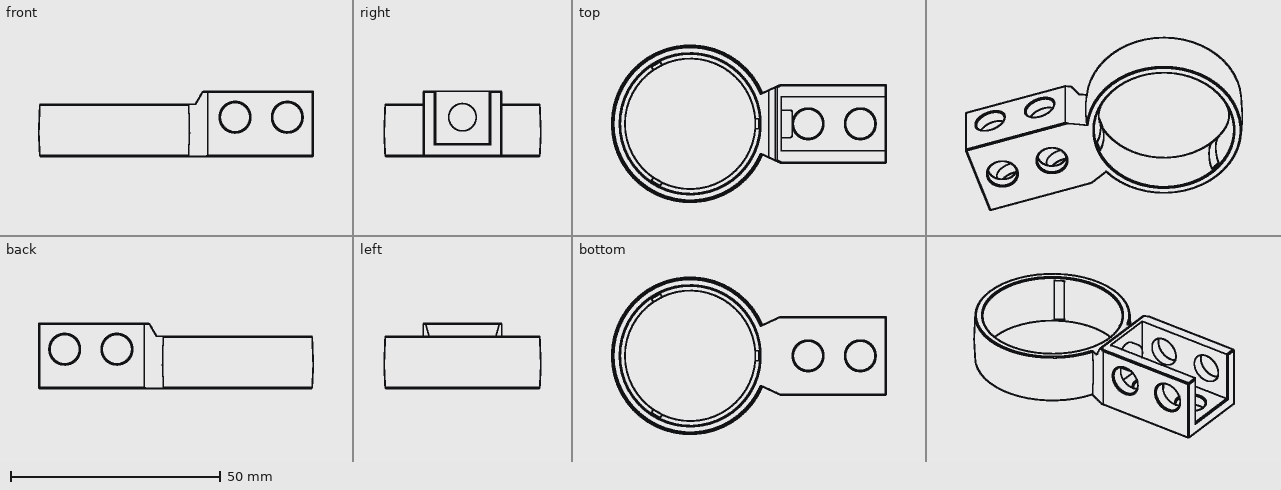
import cadquery as cq
import math

ring_height = 12.55
ring_middle_z = ring_height / 2
outer_radius_middle = 18.8
outer_radius_end = 18.5
bore_radius_middle = 15.55
bore_radius_end = 16.7
edge_chamfer = 0.25

rib_count = 3
rib_width = 2.4
rib_end_gap = 0.5
rib_ramp_height = 1.3
rib_ramp_depth = 0.5
rib_radius_middle = 15.5
rib_radius_end = 15.9
rib_root_radius = 17.4

clevis_end_x = 65.6 - outer_radius_middle
clevis_height = 15.6
clevis_width = 18.8
wedge_end_x = 21.65
wedge_angle = 25
slope_foot_x = 18.7
slope_angle = 30
slot_start_x = 21.8
slot_width = 12.85
floor_thickness = 3.0

hole_diameter = 7.0
hole_spacing = 12.5
hole_end_distance = 6.25
hole_top_distance = 6.25
hole_xs = [clevis_end_x - hole_end_distance - hole_spacing, clevis_end_x - hole_end_distance]
hole_z = clevis_height - hole_top_distance

boss_diameter = 6.55
boss_length = 2.55
boss_tip_fillet = 0.45
boss_z = hole_z


def turned_solid(end_radius, middle_radius, rim_radius):
    """Solid as tall as the ring with a bowed side; the rims step to rim_radius over the edge chamfer."""
    top_bow_z = ring_height - edge_chamfer
    profile = (
        cq.Workplane("XZ")
        .lineTo(-rim_radius, 0)
        .lineTo(-end_radius, edge_chamfer)
        .threePointArc((-middle_radius, ring_middle_z), (-end_radius, top_bow_z))
        .lineTo(-rim_radius, ring_height)
        .lineTo(0, ring_height)
        .close()
    )
    return profile.revolve(360, (0, 0, 0), (0, 1, 0))


def rib():
    """One rib at +X: bowed face, ramps at both ends, root buried in the ring wall."""
    bottom = edge_chamfer + rib_end_gap
    top = ring_height - bottom
    ramp_radius = rib_radius_end + rib_ramp_depth
    profile = (
        cq.Workplane("XZ", origin=(0, rib_width / 2, 0))
        .moveTo(rib_root_radius, bottom)
        .lineTo(ramp_radius, bottom)
        .lineTo(rib_radius_end, bottom + rib_ramp_height)
        .threePointArc((rib_radius_middle, ring_middle_z), (rib_radius_end, top - rib_ramp_height))
        .lineTo(ramp_radius, top)
        .lineTo(rib_root_radius, top)
        .close()
    )
    return profile.extrude(rib_width)


def clevis():
    """Block with a wedge neck and a sloped shoulder, slotted, with chamfered edges."""
    half_width = clevis_width / 2
    neck_start_x = bore_radius_middle
    neck_half_width = half_width - (wedge_end_x - neck_start_x) * math.tan(math.radians(wedge_angle))
    plan = (
        cq.Workplane("XY")
        .moveTo(neck_start_x, -neck_half_width)
        .lineTo(wedge_end_x, -half_width)
        .lineTo(clevis_end_x, -half_width)
        .lineTo(clevis_end_x, half_width)
        .lineTo(wedge_end_x, half_width)
        .lineTo(neck_start_x, neck_half_width)
        .close()
        .extrude(clevis_height)
    )
    shoulder_run = (clevis_height - ring_height) * math.tan(math.radians(slope_angle))
    shoulder = (
        cq.Workplane("XZ", origin=(0, half_width, 0))
        .moveTo(0, ring_height)
        .lineTo(slope_foot_x, ring_height)
        .lineTo(slope_foot_x + shoulder_run, clevis_height)
        .lineTo(0, clevis_height)
        .close()
        .extrude(clevis_width)
    )
    block = plan.cut(shoulder)
    block = block.faces(">X or >Z").edges().chamfer(edge_chamfer)
    block = block.faces("<Z").edges("|X").chamfer(edge_chamfer)
    slot = (
        cq.Workplane("XY")
        .box(clevis_end_x - slot_start_x, slot_width, clevis_height, centered=(False, True, False))
        .translate((slot_start_x, 0, floor_thickness))
    )
    margin = edge_chamfer / 2
    slot_mouth_edges = cq.selectors.BoxSelector(
        (clevis_end_x - margin, -slot_width / 2 - margin, floor_thickness - margin),
        (clevis_end_x + margin, slot_width / 2 + margin, clevis_height),
    )
    return block.cut(slot).faces(">X").edges(slot_mouth_edges).chamfer(edge_chamfer)


def chamfered_hole(depth):
    """Cutter for a through hole along Z, flared at both mouths by the edge chamfer."""
    radius = hole_diameter / 2
    mouth_radius = radius + edge_chamfer
    profile = (
        cq.Workplane("XZ")
        .lineTo(mouth_radius, 0)
        .lineTo(radius, edge_chamfer)
        .lineTo(radius, depth - edge_chamfer)
        .lineTo(mouth_radius, depth)
        .lineTo(0, depth)
        .close()
    )
    return profile.revolve(360, (0, 0, 0), (0, 1, 0))


def boss():
    """Round boss with a rounded tip, pointing along +X."""
    return (
        cq.Workplane("YZ", origin=(slot_start_x, 0, boss_z))
        .circle(boss_diameter / 2)
        .extrude(boss_length)
        .faces(">X")
        .edges()
        .fillet(boss_tip_fillet)
    )


barrel = turned_solid(outer_radius_end, outer_radius_middle, outer_radius_end - edge_chamfer)
bore = turned_solid(bore_radius_end, bore_radius_middle, bore_radius_end + edge_chamfer)
result = barrel.union(clevis()).cut(bore)
for index in range(rib_count):
    result = result.union(rib().rotate((0, 0, 0), (0, 0, 1), index * 360 / rib_count))
floor_hole = chamfered_hole(floor_thickness)
arm_hole = chamfered_hole(clevis_width).rotate((0, 0, 0), (1, 0, 0), 90)
for x in hole_xs:
    result = result.cut(floor_hole.translate((x, 0, 0)))
    result = result.cut(arm_hole.translate((x, clevis_width / 2, hole_z)))
result = result.union(boss())